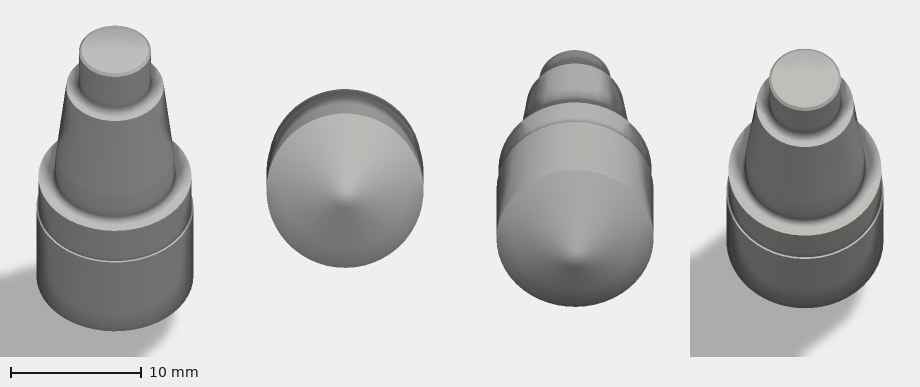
import cadquery as cq
import math

tip_radius = 12.0 / 2
tip_top_z = 10.73
cone_angle = math.radians(30)
nose_radius = 1.4

collar_radius = 11.7 / 2
collar_top_z = 14.0
neck_fillet = 0.3
neck_top_radius = 3.73
neck_top_z = 23.8
taper_bottom_z = 16.5
taper_angle = math.radians(6)
stud_radius = 5.5 / 2
stud_fillet = 0.5
stud_chamfer = 0.2
top_z = 27.8


def arc_midpoint(center, radius, start_angle, end_angle):
    """Point halfway along a circular arc, in the radius-height plane."""
    angle = (start_angle + end_angle) / 2
    return center[0] + radius * math.cos(angle), center[1] + radius * math.sin(angle)


def revolve_about_z(profile):
    """Revolve a closed radius-height profile a full turn about Z."""
    return profile.close().revolve(360, (0, 0), (0, 1))


def make_tip():
    nose_center = (0, nose_radius)
    nose_end_angle = cone_angle - math.pi / 2
    nose_end_radius = nose_radius * math.sin(cone_angle)
    nose_end_z = nose_radius * (1 - math.cos(cone_angle))
    cone_top_z = nose_end_z + (tip_radius - nose_end_radius) * math.tan(cone_angle)
    profile = (
        cq.Workplane("XZ")
        .moveTo(0, 0)
        .threePointArc(
            arc_midpoint(nose_center, nose_radius, -math.pi / 2, nose_end_angle),
            (nose_end_radius, nose_end_z),
        )
        .lineTo(tip_radius, cone_top_z)
        .lineTo(tip_radius, tip_top_z)
        .lineTo(0, tip_top_z)
    )
    return revolve_about_z(profile)


def make_shank():
    neck_bottom_z = collar_top_z + neck_fillet
    taper_bottom_radius = neck_top_radius + (neck_top_z - taper_bottom_z) * math.tan(taper_angle)
    bulge_radius = (taper_bottom_z - neck_bottom_z) / math.sin(taper_angle)
    neck_bottom_radius = taper_bottom_radius + bulge_radius * (1 - math.cos(taper_angle))
    bulge_center = (neck_bottom_radius - bulge_radius, neck_bottom_z)

    neck_fillet_center = (neck_bottom_radius + neck_fillet, neck_bottom_z)
    stud_fillet_center = (stud_radius + stud_fillet, neck_top_z + stud_fillet)
    flat_angle = 1.5 * math.pi

    profile = (
        cq.Workplane("XZ")
        .moveTo(0, tip_top_z)
        .lineTo(collar_radius, tip_top_z)
        .lineTo(collar_radius, collar_top_z)
        .lineTo(neck_fillet_center[0], collar_top_z)
        .threePointArc(
            arc_midpoint(neck_fillet_center, neck_fillet, flat_angle, math.pi),
            (neck_bottom_radius, neck_bottom_z),
        )
        .threePointArc(
            arc_midpoint(bulge_center, bulge_radius, 0, taper_angle),
            (taper_bottom_radius, taper_bottom_z),
        )
        .lineTo(neck_top_radius, neck_top_z)
        .lineTo(stud_fillet_center[0], neck_top_z)
        .threePointArc(
            arc_midpoint(stud_fillet_center, stud_fillet, flat_angle, math.pi),
            (stud_radius, stud_fillet_center[1]),
        )
        .lineTo(stud_radius, top_z - stud_chamfer)
        .lineTo(stud_radius - stud_chamfer, top_z)
        .lineTo(0, top_z)
    )
    return revolve_about_z(profile)


tip = make_tip()
shank = make_shank()
result = cq.Compound.makeCompound([tip.val(), shank.val()])